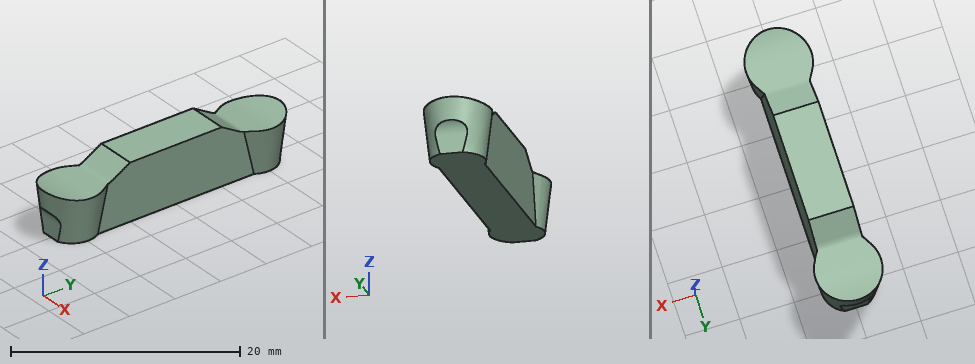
import cadquery as cq
import math

length = 25.9
height = 5.98
bar_width = 4.15
head_width = 6.0

ridge_half_length = 5.02
ramp_start = 7.02
ramp_angle = 30.0
seat_inner_end = 7.65
seat_outer_end = 9.55
seat_inner_height = 4.65
seat_outer_height = 4.58
tip_height = 4.95

wall_angle = 6.7
flank_angle = 30.0

relief_half_length = 12.15
relief_straight_height = 1.68
relief_top_height = 2.87

half_length = length / 2
wall_slope = math.tan(math.radians(wall_angle))
bottom_radius = head_width / 2 - seat_outer_height * wall_slope
tip_radius = bottom_radius + tip_height * wall_slope
head_center = half_length - tip_radius


def head_outline(workplane, radius):
    """Round head outline closed by two tangent flanks that meet inside the bar."""
    angle = math.radians(flank_angle)
    tangent_x = radius * math.cos(angle)
    tangent_y = head_center - radius * math.sin(angle)
    apex_y = head_center - radius / math.sin(angle)
    return (
        workplane.moveTo(0, apex_y)
        .lineTo(tangent_x, tangent_y)
        .threePointArc((0, head_center + radius), (-tangent_x, tangent_y))
        .close()
    )


def make_head():
    """Head at the +Y end, widening upward to the full height of the part."""
    top_radius = bottom_radius + height * wall_slope
    bottom = head_outline(cq.Workplane("XY"), bottom_radius)
    return head_outline(bottom.workplane(offset=height), top_radius).loft(ruled=True)


def make_top_envelope():
    """Space under the top face: ridge, ramps, gently sloped seats and upswept tips."""
    ramp_end = (ramp_start, height - (ramp_start - ridge_half_length) * math.tan(math.radians(ramp_angle)))
    half = (
        cq.Workplane("YZ")
        .lineTo(0, height)
        .lineTo(ridge_half_length, height)
        .lineTo(*ramp_end)
        .tangentArcPoint((seat_inner_end, seat_inner_height), relative=False)
        .lineTo(seat_outer_end, seat_outer_height)
        .tangentArcPoint((half_length, tip_height), relative=False)
        .lineTo(half_length, 0)
        .close()
        .extrude(head_width, both=True)
    )
    return half.union(half.mirror("XZ"))


def make_relief():
    """Flat at the foot of the +Y head, curving outward to the wall above it."""
    relief_top_y = head_center + bottom_radius + relief_top_height * wall_slope
    return (
        cq.Workplane("YZ")
        .moveTo(relief_half_length, 0)
        .lineTo(relief_half_length, relief_straight_height)
        .tangentArcPoint((relief_top_y, relief_top_height), relative=False)
        .lineTo(half_length, relief_top_height)
        .lineTo(half_length, 0)
        .close()
        .extrude(head_width, both=True)
    )


bar = cq.Workplane("XY").box(bar_width, 2 * seat_outer_end, height, centered=(True, True, False))
head = make_head().cut(make_relief())
result = bar.union(head).union(head.mirror("XZ")).intersect(make_top_envelope())